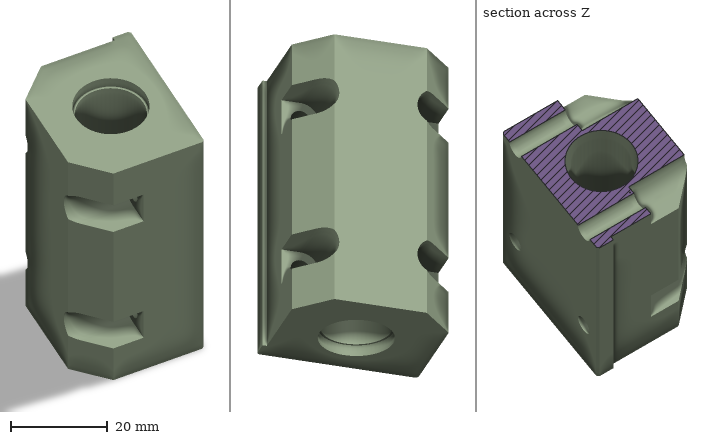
import cadquery as cq

length = 62.0
width = 35.0
depth = 28.0
bore_to_mounting_face = 13.0
lip_overhang = 0.9
lip_thickness = 4.0
front_chamfer = 7.0
edge_chamfer = 0.5

bore_diameter = 15.0
recess_diameter = 16.0
recess_depth = 2.5

hole_diameter = 4.2
hole_spacing_x = 25.0
hole_spacing_z = 34.95
pocket_width = 8.0
pocket_depth = 13.95

back_y = bore_to_mounting_face
front_y = back_y - depth
right_x = width / 2
lip_x = -width / 2
left_x = lip_x + lip_overhang


def make_block():
    """Extrude the chamfered profile with its locating lip along Z."""
    profile = [
        (lip_x, back_y - lip_thickness),
        (left_x, back_y - lip_thickness),
        (left_x, front_y + front_chamfer),
        (left_x + front_chamfer, front_y),
        (right_x - front_chamfer, front_y),
        (right_x, front_y + front_chamfer),
        (right_x, back_y - edge_chamfer),
        (right_x - edge_chamfer, back_y),
        (lip_x + edge_chamfer, back_y),
        (lip_x, back_y - edge_chamfer),
    ]
    return cq.Workplane("XY").polyline(profile).close().extrude(length)


def make_disc(diameter, bottom_z, height):
    """Cylinder on the bore axis."""
    return cq.Workplane("XY", origin=(0, 0, bottom_z)).circle(diameter / 2).extrude(height)


def make_bore():
    """Through bore with a shallow recess at both ends."""
    top_recess_floor = length - recess_depth
    bore = make_disc(bore_diameter, 0, length)
    bore = bore.union(make_disc(recess_diameter, 0, recess_depth))
    return bore.union(make_disc(recess_diameter, top_recess_floor, recess_depth))


def make_screw_cut(side, z):
    """Through hole and round-ended pocket opening on the given side (-1 left, +1 right)."""
    hole_x = side * hole_spacing_x / 2
    front = cq.Workplane("XZ", origin=(hole_x, front_y, z))
    hole = front.circle(hole_diameter / 2).extrude(-depth)
    round_end = front.circle(pocket_width / 2).extrude(-pocket_depth)
    run = width / 2
    open_side = front.center(side * run / 2, 0).rect(run, pocket_width).extrude(-pocket_depth)
    return hole.union(round_end).union(open_side)


result = make_block().cut(make_bore())
for side in (-1, 1):
    for z_direction in (-1, 1):
        hole_z = length / 2 + z_direction * hole_spacing_z / 2
        result = result.cut(make_screw_cut(side, hole_z))